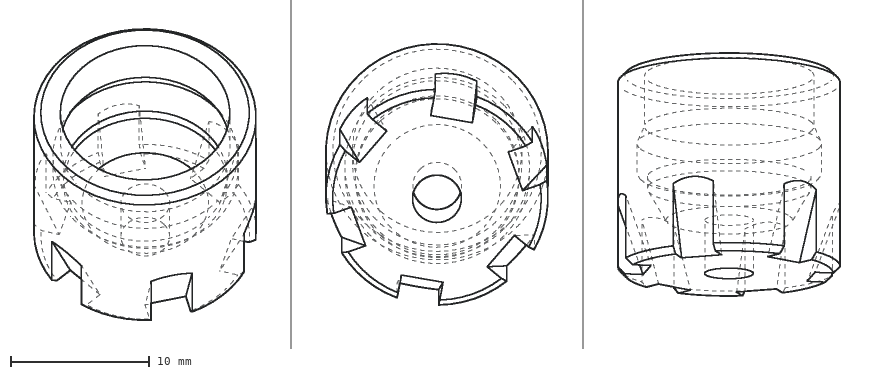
import cadquery as cq
import math

body_radius = 8.0
body_height = 14.6
edge_chamfer = 0.5

bore_radius = 6.1
groove_radius = 13.3 / 2
seat_radius = 11.8 / 2
floor_radius = 9.1 / 2
through_hole_diameter = 3.5

bore_depth = 3.75
groove_roof_depth = 5.0
groove_depth = 7.47
seat_depth = 8.32
groove_fillet = 0.43
seat_cone_half_angle = 30.0

slot_count = 6
slot_width = 3.04
slot_height = 5.47
slot_floor_angle = 20.0


def make_body():
    body = cq.Workplane("XY").circle(body_radius).extrude(body_height)
    return body.faces("<Z or >Z").chamfer(edge_chamfer)


def make_bore():
    """Revolved cavity: bore, undercut groove, short seat and cone down to a flat floor."""
    groove_bottom = body_height - groove_depth
    seat_bottom = body_height - seat_depth
    cone_height = (seat_radius - floor_radius) / math.tan(math.radians(seat_cone_half_angle))
    cone_bottom = seat_bottom - cone_height

    fillet_mid_inset = groove_fillet * (1 - math.sqrt(0.5))
    fillet_mid = (groove_radius - fillet_mid_inset, groove_bottom + fillet_mid_inset)

    profile = (
        cq.Workplane("XZ")
        .moveTo(0, body_height)
        .lineTo(bore_radius, body_height)
        .lineTo(bore_radius, body_height - bore_depth)
        .lineTo(groove_radius, body_height - groove_roof_depth)
        .lineTo(groove_radius, groove_bottom + groove_fillet)
        .threePointArc(fillet_mid, (groove_radius - groove_fillet, groove_bottom))
        .lineTo(seat_radius, groove_bottom)
        .lineTo(seat_radius, seat_bottom)
        .lineTo(floor_radius, cone_bottom)
        .lineTo(0, cone_bottom)
        .close()
    )
    return profile.revolve(360, (0, 0, 0), (0, 1, 0))


def make_slot(angle):
    """Wedge whose sloping floor leaves the outer wall at the slot height."""
    inner_radius = body_radius - slot_height * math.tan(math.radians(slot_floor_angle))
    wedge = (
        cq.Workplane("XZ")
        .polyline([(inner_radius, 0), (body_radius, 0), (body_radius, slot_height)])
        .close()
        .extrude(slot_width / 2, both=True)
    )
    return wedge.rotate((0, 0, 0), (0, 0, 1), angle)


result = make_body().cut(make_bore())
result = result.faces("<Z").workplane(origin=(0, 0, 0)).circle(through_hole_diameter / 2).cutThruAll()
for slot_index in range(slot_count):
    result = result.cut(make_slot(90 + slot_index * 360 / slot_count))